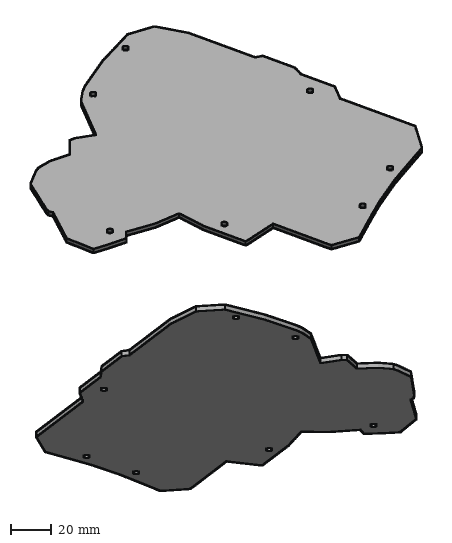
import cadquery as cq

LENGTH = 168.57
WIDTH = 156.61
THICKNESS = 3.0
HOLE_DIAMETER = 3.0

UPPER_EDGE_Y = 154.0
RIGHT_BLOCK_TOP_Y = 147.9
RIGHT_BLOCK_BOTTOM_Y = 56.0
LOWER_STEP_Y = 39.0

RIGHT_CORNER_X = 158.8
RIGHT_WAIST_X = 166.4
RIGHT_SHOULDER_X = 167.1

upper_edge = [
    (2.8, 139.4),
    (12.2, 150.3),
    (29.3, UPPER_EDGE_Y),
    (66.4, UPPER_EDGE_Y),
    (69.3, WIDTH),
    (87.3, WIDTH),
    (92.0, UPPER_EDGE_Y),
    (110.9, UPPER_EDGE_Y),
    (116.9, RIGHT_BLOCK_TOP_Y),
]

right_block = [
    (RIGHT_CORNER_X, RIGHT_BLOCK_TOP_Y),
    (LENGTH, 136.1),
    (RIGHT_SHOULDER_X, 119.1),
    (RIGHT_WAIST_X, 109.9),
    (RIGHT_WAIST_X, 93.4),
    (RIGHT_SHOULDER_X, 83.7),
    (LENGTH, 67.1),
    (RIGHT_CORNER_X, RIGHT_BLOCK_BOTTOM_Y),
    (155.7, 55.9),
    (126.3, RIGHT_BLOCK_BOTTOM_Y),
    (120.4, 40.7),
    (119.6, LOWER_STEP_Y),
    (96.3, LOWER_STEP_Y),
    (81.4, 41.2),
]

thumb_lobe = [
    (74.0, 29.6),
    (63.6, 17.9),
    (65.9, 14.2),
    (59.3, 5.7),
    (54.5, 0.0),
    (52.7, 0.2),
    (39.4, 0.6),
    (25.2, 13.5),
    (23.0, 13.1),
    (21.3, 13.9),
    (6.3, 25.9),
    (4.8, 34.7),
    (4.8, 37.4),
    (7.9, 44.3),
    (14.5, 52.7),
    (10.2, 61.4),
    (11.7, 63.8),
    (20.1, 70.7),
]

left_side = [
    (2.8, 88.1),
    (0.6, 94.3),
    (0.0, 98.1),
    (0.0, 117.6),
    (0.5, 121.2),
]

hole_centers = [
    (6.2, 130.5),
    (6.2, 95.0),
    (101.2, 145.9),
    (160.7, 116.5),
    (160.3, 87.2),
    (104.7, 44.9),
    (56.2, 14.9),
]


def make_plate():
    """Extrude the closed outline to the plate thickness."""
    outline = upper_edge + right_block + thumb_lobe + left_side
    return cq.Workplane("XY").polyline(outline).close().extrude(THICKNESS)


def make_holes():
    """Round cutters through the full thickness at every mounting position."""
    return cq.Workplane("XY").pushPoints(hole_centers).circle(HOLE_DIAMETER / 2).extrude(THICKNESS)


result = make_plate().cut(make_holes())